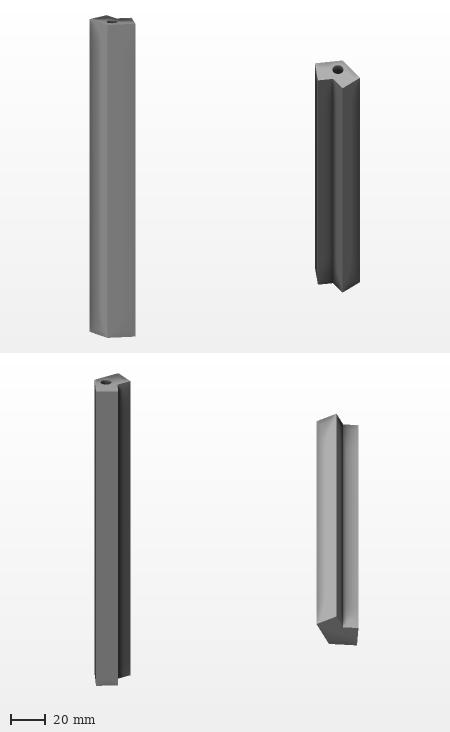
import cadquery as cq
import math

bar_length = 186.27
overall_width = 27.93
arm_thickness = 12.7
arm_slope = math.radians(30)
hole_diameter = 6.35
hole_depth = 25.4

corner_x = overall_width / 2
corner_y = corner_x * math.tan(arm_slope)
tip_x = corner_x - arm_thickness * math.sin(arm_slope)
tip_y = corner_y + arm_thickness * math.cos(arm_slope)
groove_y = arm_thickness / math.cos(arm_slope)
hole_y = groove_y / 2


def make_bar():
    """Straight bar with a symmetric V section of two square-ended arms."""
    section = [
        (0, 0),
        (corner_x, corner_y),
        (tip_x, tip_y),
        (0, groove_y),
        (-tip_x, tip_y),
        (-corner_x, corner_y),
    ]
    return cq.Workplane("XY").polyline(section).close().extrude(bar_length)


def make_hole():
    """Cylinder that cuts the blind hole down from the top end."""
    return (
        cq.Workplane("XY", origin=(0, hole_y, bar_length))
        .circle(hole_diameter / 2)
        .extrude(-hole_depth)
    )


result = make_bar().cut(make_hole())